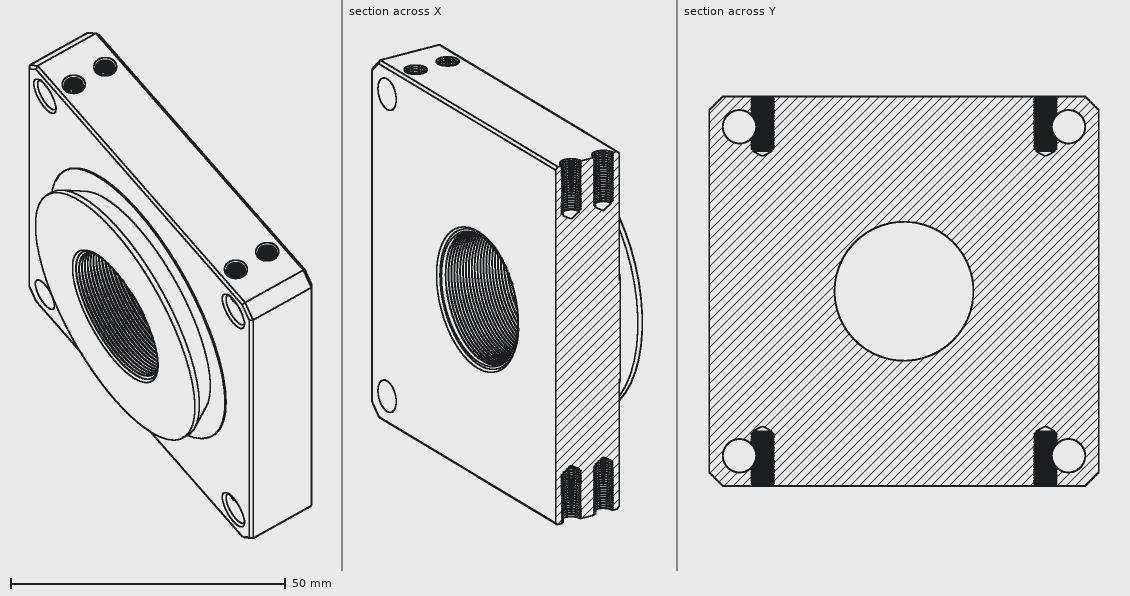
import cadquery as cq
import math

plate_size = 71.12
plate_thickness = 13.97
corner_cut = 2.54
edge_chamfer = 0.508

pad_diameter = 55.4
pad_height = 0.25
flange_diameter = 50.8
flange_length = 5.08
flange_rim_width = 1.0
flange_angle = 30.0

groove_bottom_share = 0.125
crest_share = 0.125

bore_minor_diameter = 25.3
bore_major_diameter = 26.3
bore_pitch = 0.635
bore_mouth_diameter = 27.2

rod_spacing = 60.0
rod_hole_diameter = 6.05
rod_hole_mouth_diameter = 7.05

screw_spacing_x = 51.6
screw_spacing_y = 7.0
screw_minor_diameter = 3.4
screw_major_diameter = 4.166
screw_pitch = 0.5
screw_depth = 10.0
drill_tip_angle = 118.0

pad_face = plate_thickness + pad_height
total_depth = pad_face + flange_length


def make_plate():
    plate = cq.Workplane("XZ").rect(plate_size, plate_size).extrude(plate_thickness)
    plate = plate.edges("|Y").chamfer(corner_cut)
    return plate.faces("<Y or >Y").edges().chamfer(edge_chamfer)


def make_flange():
    """Pad and dovetail flange, starting inside the plate so that they fuse with it."""
    pad_radius = pad_diameter / 2
    rim_radius = flange_diameter / 2
    rim_back = total_depth - flange_rim_width
    neck_radius = rim_radius - (rim_back - pad_face) * math.tan(math.radians(flange_angle))
    base = plate_thickness / 2
    profile = [
        (0, -base),
        (pad_radius, -base),
        (pad_radius, -pad_face),
        (neck_radius, -pad_face),
        (rim_radius, -rim_back),
        (rim_radius, -total_depth),
        (0, -total_depth),
    ]
    return cq.Workplane("XY").polyline(profile).close().revolve(360, (0, 0, 0), (0, 1, 0))


def thread_profile(minor_diameter, major_diameter, pitch, start, end):
    """Radius and depth points of ring-shaped thread grooves between two depths.

    Each pitch is a flat groove bottom, a flank, a flat crest and a flank.
    """
    minor_radius = minor_diameter / 2
    major_radius = major_diameter / 2
    groove_bottom = pitch * groove_bottom_share
    crest = pitch * crest_share
    flank = (pitch - groove_bottom - crest) / 2
    groove_count = int((end - start) / pitch)
    points = []
    for groove in range(groove_count):
        bottom_start = start + groove * pitch
        bottom_end = bottom_start + groove_bottom
        crest_start = bottom_end + flank
        points.append((major_radius, bottom_start))
        points.append((major_radius, bottom_end))
        points.append((minor_radius, crest_start))
        points.append((minor_radius, crest_start + crest))
    return points


def revolve_along_depth(profile):
    """Revolve (radius, depth) points about Z, with depth running along -Z."""
    points = [(radius, -depth) for radius, depth in profile]
    return cq.Workplane("XZ").polyline(points).close().revolve(360, (0, 0, 0), (0, 1, 0))


def make_bore_cutter():
    mouth_radius = bore_mouth_diameter / 2
    mouth_depth = (bore_mouth_diameter - bore_major_diameter) / 2
    thread_end = total_depth - mouth_depth
    profile = [(0, 0), (mouth_radius, 0)]
    profile += thread_profile(
        bore_minor_diameter, bore_major_diameter, bore_pitch, mouth_depth, thread_end
    )
    profile += [
        (bore_minor_diameter / 2, thread_end),
        (bore_major_diameter / 2, thread_end),
        (mouth_radius, total_depth),
        (0, total_depth),
    ]
    cutter = revolve_along_depth(profile)
    return cutter.rotate((0, 0, 0), (1, 0, 0), 90).translate((0, -total_depth, 0))


def make_rod_hole_cutter(countersunk):
    """Cutter along Y for one rod hole, with its axis through the origin."""
    cutter = cq.Workplane("XZ").circle(rod_hole_diameter / 2).extrude(plate_thickness)
    if not countersunk:
        return cutter
    mouth_radius = rod_hole_mouth_diameter / 2
    mouth = cq.Solid.makeCone(
        mouth_radius, 0, mouth_radius, cq.Vector(0, -plate_thickness, 0), cq.Vector(0, 1, 0)
    )
    return cutter.union(cq.Workplane(mouth))


def make_screw_hole_cutter():
    """Cutter for one threaded blind hole, entering at the origin and running along -Z."""
    minor_radius = screw_minor_diameter / 2
    tip_length = minor_radius / math.tan(math.radians(drill_tip_angle / 2))
    profile = [(0, 0)]
    profile += thread_profile(
        screw_minor_diameter, screw_major_diameter, screw_pitch, 0, screw_depth
    )
    profile += [(minor_radius, screw_depth), (0, screw_depth + tip_length)]
    return revolve_along_depth(profile)


def cut_rod_holes(body):
    for side_x in (-1, 1):
        for side_z in (-1, 1):
            plain_corner = side_x < 0 and side_z < 0
            cutter = make_rod_hole_cutter(countersunk=not plain_corner)
            position = (side_x * rod_spacing / 2, 0, side_z * rod_spacing / 2)
            body = body.cut(cutter.translate(position))
    return body


def cut_screw_holes(body):
    upper_cutter = make_screw_hole_cutter().translate((0, 0, plate_size / 2))
    lower_cutter = upper_cutter.mirror("XY")
    for side_x in (-1, 1):
        for side_y in (-1, 1):
            x = side_x * screw_spacing_x / 2
            y = -plate_thickness / 2 + side_y * screw_spacing_y / 2
            for cutter in (upper_cutter, lower_cutter):
                body = body.cut(cutter.translate((x, y, 0)))
    return body


body = make_plate().union(make_flange())
body = body.cut(make_bore_cutter())
body = cut_rod_holes(body)
result = cut_screw_holes(body)